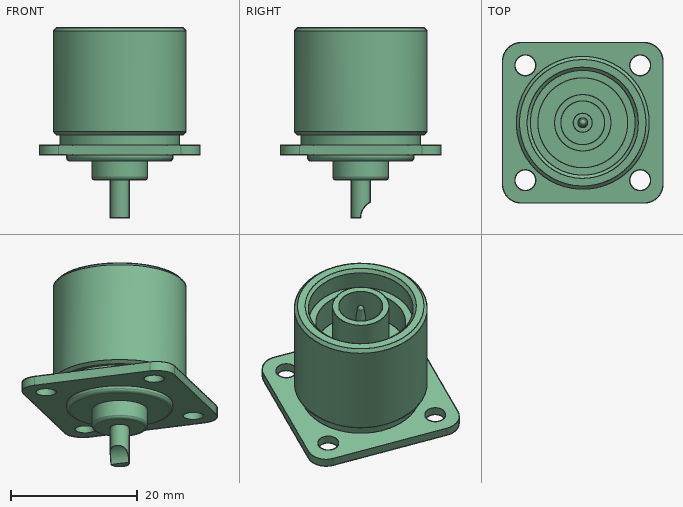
import cadquery as cq
import math

bushing_bottom = 6.02
rear_ring_bottom = 9.0
flange_bottom = 10.0
flange_thickness = 1.5
sleeve_bottom = 13.12
floor_height = 21.37
liner_top = 26.5
tube_top = 30.05
contact_tip = 30.05
overall_height = 30.1
flange_top = flange_bottom + flange_thickness

sleeve_radius = 10.5
sleeve_bore_radius = 8.28
neck_radius = 9.48
liner_bore_radius = 7.1
rear_ring_radius = 8.4
tube_radius = 4.45
tube_bore_radius = 3.45
bushing_radius = 4.4
contact_radius = 1.5
pin_radius = 0.78
pin_tip_radius = 0.5

edge_size = 0.5
bushing_edge_radius = 0.45

flange_side = 25.4
flange_corner_radius = 3.0
mounting_hole_diameter = 3.25
mounting_hole_spacing = 18.15

pin_taper_length = 2.0
tail_cut_height = 2.5
tail_cut_radius = 2.83


def cylinder(radius, bottom, top):
    """Solid cylinder on the Z axis between two heights."""
    return cq.Workplane("XY").workplane(offset=bottom).circle(radius).extrude(top - bottom)


def ring(outer_radius, inner_radius, bottom, top):
    """Hollow cylinder on the Z axis between two heights."""
    return cylinder(outer_radius, bottom, top).cut(cylinder(inner_radius, bottom, top))


def make_sleeve():
    """Outer shell, chamfered at both outer ends and at the mouth of its bore."""
    shell = ring(sleeve_radius, sleeve_bore_radius, sleeve_bottom, overall_height)
    shell = shell.faces(">Z").edges().chamfer(edge_size)
    return shell.faces("<Z").edges(cq.selectors.RadiusNthSelector(-1)).chamfer(edge_size)


def make_housing():
    """Square flange with a neck and a core that carries the sleeve and liner."""
    flange = (
        cq.Workplane("XY").workplane(offset=flange_bottom)
        .rect(flange_side, flange_side).extrude(flange_thickness)
        .edges("|Z").fillet(flange_corner_radius)
        .faces(">Z").workplane()
        .rect(mounting_hole_spacing, mounting_hole_spacing, forConstruction=True).vertices()
        .hole(mounting_hole_diameter)
    )
    neck = cylinder(neck_radius, flange_top, sleeve_bottom)
    core = cylinder(liner_bore_radius, sleeve_bottom, floor_height)
    tube_hole = cylinder(tube_radius, flange_bottom, floor_height)
    return flange.union(neck).union(core).cut(tube_hole)


def make_liner():
    """Ring inside the sleeve whose top is the ledge below the sleeve mouth."""
    return ring(sleeve_bore_radius, liner_bore_radius, sleeve_bottom, liner_top)


def make_rear_ring():
    """Rounded ring under the flange, around the rear bushing."""
    disc = cylinder(rear_ring_radius, rear_ring_bottom, flange_bottom)
    disc = disc.faces("<Z").edges().fillet(edge_size)
    return disc.cut(cylinder(bushing_radius, rear_ring_bottom, flange_bottom))


def make_tube():
    """Outer contact tube around the pin."""
    return ring(tube_radius, tube_bore_radius, flange_bottom, tube_top)


def make_insulator():
    """Insulator that holds the contact inside the tube."""
    return ring(tube_bore_radius, contact_radius, flange_bottom, floor_height)


def make_bushing():
    """Rear bushing around the contact tail, rounded at its lower rim."""
    plug = cylinder(bushing_radius, bushing_bottom, flange_bottom)
    plug = plug.faces("<Z").edges().fillet(bushing_edge_radius)
    return plug.cut(cylinder(contact_radius, bushing_bottom, flange_bottom))


def make_contact():
    """Centre contact: round-tipped tapered pin above, scooped solder tail below."""
    dome_center = contact_tip - pin_tip_radius
    dome_mid = pin_tip_radius * math.sqrt(0.5)
    contact = (
        cq.Workplane("XZ")
        .lineTo(contact_radius, 0)
        .lineTo(contact_radius, floor_height)
        .lineTo(pin_radius, floor_height)
        .lineTo(pin_radius, dome_center - pin_taper_length)
        .lineTo(pin_tip_radius, dome_center)
        .threePointArc((dome_mid, dome_center + dome_mid), (0, contact_tip))
        .close()
        .revolve(360, (0, 0, 0), (0, 1, 0))
    )
    chord = math.hypot(contact_radius, tail_cut_height)
    center_offset = math.sqrt(tail_cut_radius**2 - (chord / 2) ** 2)
    scoop_y = contact_radius / 2 + center_offset * tail_cut_height / chord
    scoop_z = tail_cut_height / 2 - center_offset * contact_radius / chord
    scoop = (
        cq.Workplane("YZ").center(scoop_y, scoop_z)
        .circle(tail_cut_radius).extrude(contact_radius, both=True)
    )
    return contact.cut(scoop)


sleeve = make_sleeve()
housing = make_housing()
liner = make_liner()
rear_ring = make_rear_ring()
tube = make_tube()
insulator = make_insulator()
bushing = make_bushing()
contact = make_contact()

result = cq.Compound.makeCompound([
    sleeve.val(),
    housing.val(),
    liner.val(),
    rear_ring.val(),
    tube.val(),
    insulator.val(),
    bushing.val(),
    contact.val(),
])